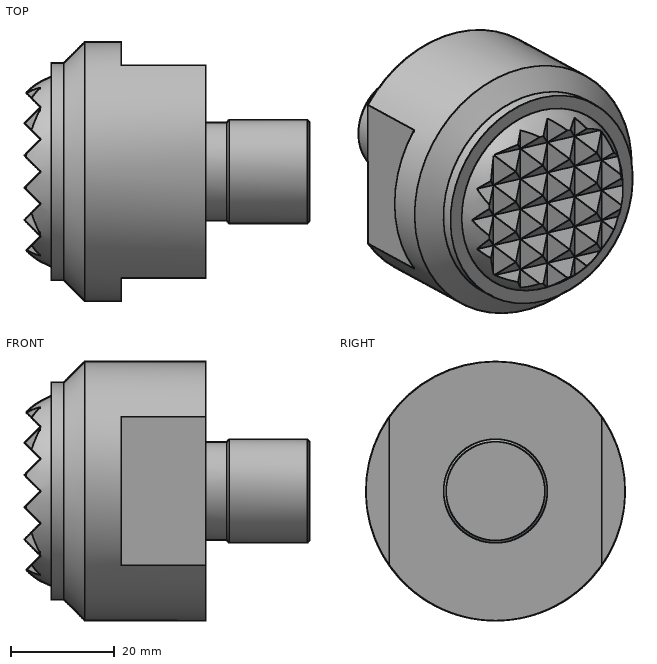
import cadquery as cq


ball_radius = 20.0
ball_center_x = 13.1
tooth_pitch = 6.2
tooth_depth = tooth_pitch / 2
grooves_across = 5

overall_length = 55.0
body_diameter = 50.0
body_end_x = 35.0
lip_face_x = 5.15
lip_length = 2.5
cone_length = 4.0
across_flats = 41.05
flat_length = 16.3

stud_diameter = 20.0
neck_diameter = 19.0
neck_length = 4.0
stud_chamfer = 0.5

body_radius = body_diameter / 2
stud_radius = stud_diameter / 2
neck_radius = neck_diameter / 2


def make_ball_blank():
    """Full ball, revolved about the X axis from a half disc."""
    return (
        cq.Workplane("XZ")
        .moveTo(ball_center_x - ball_radius, 0)
        .threePointArc((ball_center_x, ball_radius), (ball_center_x + ball_radius, 0))
        .close()
        .revolve(360, (0, 0, 0), (1, 0, 0))
    )


def make_groove_cutter():
    """Sawtooth prism along Z that leaves V grooves side by side along Y."""
    half_width = grooves_across * tooth_pitch / 2
    front_x = -ball_radius
    points = [(front_x, -half_width), (0, -half_width)]
    for i in range(grooves_across):
        groove_y = -half_width + (i + 0.5) * tooth_pitch
        points.append((tooth_depth, groove_y))
        points.append((0, groove_y + tooth_pitch / 2))
    points.append((front_x, half_width))
    return cq.Workplane("XY").polyline(points).close().extrude(ball_radius, both=True)


def make_serrated_ball():
    """Ball whose flattened front carries crossed grooves, leaving square pyramids."""
    cutter = make_groove_cutter()
    crossed_cutter = cutter.rotate((0, 0, 0), (1, 0, 0), 90)
    return make_ball_blank().cut(cutter).cut(crossed_cutter)


def make_turned_housing():
    """Lip, cone, body, neck and stud, revolved about the X axis."""
    lip_end_x = lip_face_x + lip_length
    lip_radius = body_radius - cone_length
    neck_end_x = body_end_x + neck_length
    profile = [
        (lip_face_x, 0),
        (lip_face_x, lip_radius),
        (lip_end_x, lip_radius),
        (lip_end_x + cone_length, body_radius),
        (body_end_x, body_radius),
        (body_end_x, neck_radius),
        (neck_end_x, neck_radius),
        (neck_end_x + stud_chamfer, stud_radius),
        (overall_length - stud_chamfer, stud_radius),
        (overall_length, stud_radius - stud_chamfer),
        (overall_length, 0),
    ]
    return cq.Workplane("XZ").polyline(profile).close().revolve(360, (0, 0, 0), (1, 0, 0))


def make_flat_cutter(side):
    """Block that mills one wrench flat at the stud end of the body; side is +1 or -1 along Y."""
    return (
        cq.Workplane("XY")
        .box(flat_length, body_radius, body_diameter)
        .translate((body_end_x - flat_length / 2, side * (across_flats + body_radius) / 2, 0))
    )


def make_housing():
    housing = make_turned_housing()
    for side in (-1, 1):
        housing = housing.cut(make_flat_cutter(side))
    return housing.cut(make_ball_blank())


serrated_ball = make_serrated_ball()
housing = make_housing()

result = cq.Compound.makeCompound([*housing.solids().vals(), *serrated_ball.solids().vals()])